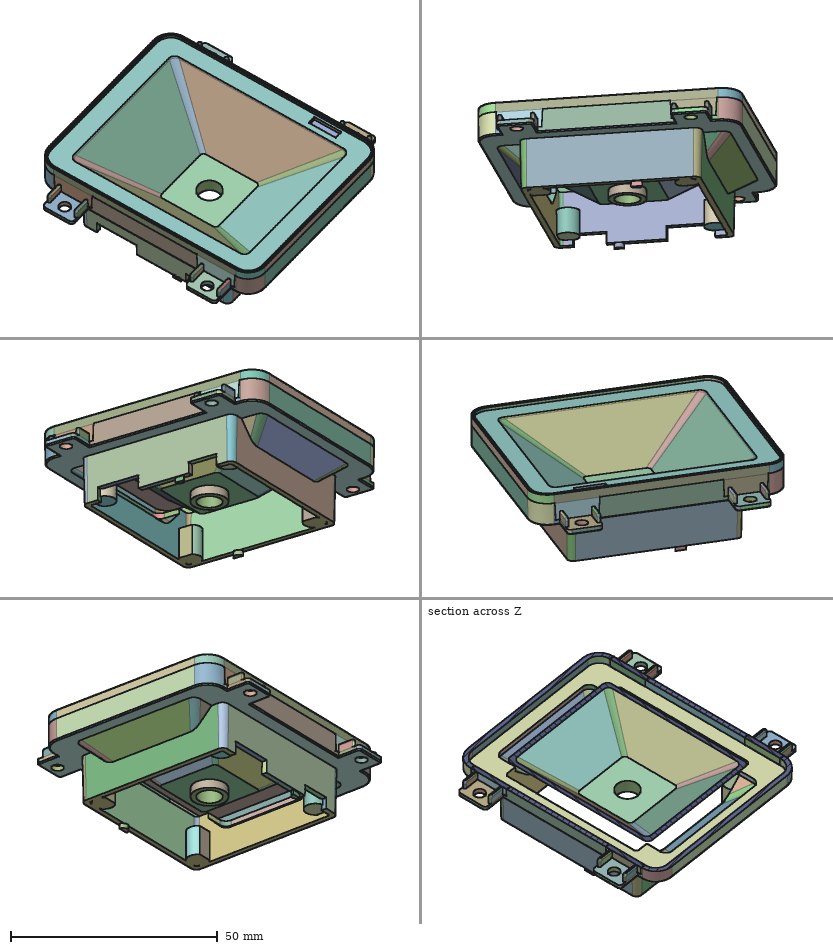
import cadquery as cq
import math


LENGTH = 65.0
WIDTH = 52.9
TAB_SPAN = 65.8
HEIGHT = 22.2
WALL = 1.45

BOX_BOTTOM = 1.3
TRAY_BOTTOM = 13.75
TAB_TOP = 15.15
RIB_TOP = 17.45
SEAM = 19.7
PANEL_TOP = 21.2
FUNNEL_FLOOR = 8.3

CORNER_RADIUS = 5.05
TRAY_DRAFT = 0.6
BOTTOM_CHAMFER = 0.3
TRAY_DEPTH = SEAM - TRAY_BOTTOM

BOX_TOP_SIZE = 44.8
BOX_CORNER_RADIUS = 1.85
BOX_DRAFT = 1.2
BOX_DEPTH = TRAY_BOTTOM - BOX_BOTTOM

CHUTE_TOP_HALF_X = 28.75
CHUTE_TOP_HALF_Y = 18.6
CHUTE_SLOPE_X = 0.76
CHUTE_SLOPE_Y = 0.95
CHUTE_TOP_CORNER_RADIUS = 2.0
CHUTE_BOTTOM_CORNER_RADIUS = 1.3
CHUTE_DEPTH = 7.9

NOTCH_EDGE = 17.5
NOTCHES = ((-NOTCH_EDGE, -5.5, 4.75), (9.3, NOTCH_EDGE, 4.3))

POST_OFFSET = 18.2
POST_RADIUS = 2.9
POST_TOP = 9.2
FRONT_POST_BOTTOM = 2.75
REAR_POST_FLAT_OFFSET = 2.2

REAR_FOOT_X = -6.45
REAR_FOOT_RADIUS = 1.4
REAR_FOOT_FLAT_Y = 21.65
FRONT_FOOT_X = 6.3
FRONT_FOOT_RADIUS = 1.25
FRONT_FOOT_FLAT_Y = -21.85

TAB_X = 21.45
TAB_WIDTH = 9.0
TAB_CORNER_RADIUS = 1.0
TAB_HOLE_DIAMETER = 3.1
TAB_HOLE_Y = 29.9
RIB_THICKNESS = 0.9
RIB_DRAFT = 0.5
RIB_END_Y = 31.1
RIB_END_RADIUS = 0.8
RIB_EDGE_FILLET = 0.4

COVER_DRAFT = 0.6
RIM_WIDTH = 0.7
RIM_CHAMFER = 0.2
FLAP_TOP_WIDTH = 11.45
FLAP_BOTTOM_WIDTH = 11.0
FLAP_LEAN = 0.03
MOUTH_LENGTH = 52.4
MOUTH_WIDTH = 41.45
MOUTH_CORNER_RADIUS = 1.7
MOUTH_CHAMFER = 0.25
FLOOR_LENGTH = 17.2
FLOOR_WIDTH = 17.65
FLOOR_CORNER_RADIUS = 1.05
FUNNEL_WALL = 1.3
LENS_HOLE_DIAMETER = 6.45
LENS_HOLE_DEPTH = 3.6
LENS_COLLAR_DIAMETER = 9.2
SLOT_X = 17.1
SLOT_Y = 23.8
SLOT_LENGTH = 8.1
SLOT_WIDTH = 2.3
SLOT_DEPTH = 1.0


def rounded_rect(length, width, radius):
    return cq.Sketch().rect(length, width).vertices().fillet(radius)


def rounded_block(length, width, radius, z, height, draft=0.0):
    """Block on level z; a negative height extrudes downward, a positive draft shrinks it."""
    base = cq.Workplane("XY").workplane(offset=z).placeSketch(rounded_rect(length, width, radius))
    return base.extrude(height, taper=draft)


def rounded_loft(lower, lower_z, upper, upper_z):
    """Loft between two (length, width, radius) rounded rectangles."""
    return (
        cq.Workplane("XY")
        .placeSketch(
            rounded_rect(*lower).moved(cq.Location(cq.Vector(0, 0, lower_z))),
            rounded_rect(*upper).moved(cq.Location(cq.Vector(0, 0, upper_z))),
        )
        .loft(ruled=True)
    )


def flap(x, side):
    """Trapezoidal flap of the cover, filling an opening in the tray wall above a tab."""
    outline = [
        (x - FLAP_BOTTOM_WIDTH / 2, TAB_TOP),
        (x + FLAP_BOTTOM_WIDTH / 2, TAB_TOP),
        (x + FLAP_TOP_WIDTH / 2, SEAM),
        (x - FLAP_TOP_WIDTH / 2, SEAM),
    ]
    reach = WIDTH / 2 + FLAP_LEAN
    plate = cq.Workplane("XZ", origin=(0, -reach, 0)).polyline(outline).close().extrude(-WALL - FLAP_LEAN)
    face_trim = (
        cq.Workplane("YZ")
        .polyline([(-reach, TAB_TOP), (-reach, SEAM), (-WIDTH / 2, SEAM)])
        .close()
        .extrude(LENGTH, both=True)
    )
    plate = plate.cut(face_trim)
    return plate if side < 0 else plate.mirror("XZ")


def tab(x, side):
    """Mounting tab with a screw hole and an upright rib along each long edge."""
    root_y = WIDTH / 2 - WALL / 2
    length = TAB_SPAN / 2 - root_y
    rib_centre_y = (root_y + RIB_END_Y) / 2
    plate = (
        cq.Workplane("XY")
        .box(TAB_WIDTH, length, TAB_TOP - TRAY_BOTTOM, centered=(True, False, False))
        .translate((x, root_y, TRAY_BOTTOM))
        .edges("|Z and >Y")
        .fillet(TAB_CORNER_RADIUS)
        .faces("<Z")
        .edges()
        .chamfer(BOTTOM_CHAMFER)
    )
    hole = (
        cq.Workplane("XY", origin=(x, TAB_HOLE_Y, TRAY_BOTTOM))
        .circle(TAB_HOLE_DIAMETER / 2)
        .extrude(TAB_TOP - TRAY_BOTTOM)
    )
    plate = plate.cut(hole)
    for edge in (-1, 1):
        rib = (
            cq.Workplane("XY", origin=(x + edge * (TAB_WIDTH - RIB_THICKNESS) / 2, rib_centre_y, TAB_TOP))
            .rect(RIB_THICKNESS, RIB_END_Y - root_y)
            .extrude(RIB_TOP - TAB_TOP, taper=RIB_DRAFT)
            .faces(">Z")
            .edges(">Y")
            .fillet(RIB_END_RADIUS)
            .faces(">Z")
            .edges(">X or <X")
            .fillet(RIB_EDGE_FILLET)
        )
        plate = plate.union(rib)
    return plate if side > 0 else plate.mirror("XZ")


def chute(inset):
    """Inverted frustum under the tray; inset shrinks it horizontally for the cavity."""
    shrink_x = CHUTE_DEPTH / CHUTE_SLOPE_X
    shrink_y = CHUTE_DEPTH / CHUTE_SLOPE_Y
    half_x = CHUTE_TOP_HALF_X - inset
    half_y = CHUTE_TOP_HALF_Y - inset
    lower = (2 * (half_x - shrink_x), 2 * (half_y - shrink_y), CHUTE_BOTTOM_CORNER_RADIUS)
    upper = (2 * half_x, 2 * half_y, CHUTE_TOP_CORNER_RADIUS)
    return rounded_loft(lower, TRAY_BOTTOM - CHUTE_DEPTH, upper, TRAY_BOTTOM)


def post(x, y, bottom):
    return cq.Workplane("XY", origin=(x, y, bottom)).circle(POST_RADIUS).extrude(POST_TOP - bottom)


def front_post(side_x):
    """Post in a -Y corner, ending short of the box rim."""
    return post(side_x * POST_OFFSET, -POST_OFFSET, FRONT_POST_BOTTOM)


def rear_post(side_x):
    """Post in a +Y corner, reaching the box rim and flattened towards the middle of the box."""
    x = side_x * POST_OFFSET
    flat_trim = (
        cq.Workplane("XY")
        .box(2 * POST_RADIUS, POST_RADIUS, POST_TOP - BOX_BOTTOM, centered=(True, False, False))
        .translate((x, POST_OFFSET - REAR_POST_FLAT_OFFSET - POST_RADIUS, BOX_BOTTOM))
    )
    return post(x, POST_OFFSET, BOX_BOTTOM).cut(flat_trim)


def foot(x, flat_y, radius):
    """Half-round foot with its flat facing away from the middle of the box."""
    inward = -math.copysign(radius, flat_y)
    return (
        cq.Workplane("XY", origin=(x, flat_y, 0))
        .moveTo(-radius, 0)
        .threePointArc((0, inward), (radius, 0))
        .close()
        .extrude(BOX_BOTTOM)
    )


def make_housing():
    """Open-bottomed shell: tray, box and chutes, with tabs, posts and feet."""
    tray = rounded_block(LENGTH, WIDTH, CORNER_RADIUS, SEAM, -TRAY_DEPTH, TRAY_DRAFT)
    tray = tray.faces("<Z").edges().chamfer(BOTTOM_CHAMFER)
    box = rounded_block(BOX_TOP_SIZE, BOX_TOP_SIZE, BOX_CORNER_RADIUS, TRAY_BOTTOM, -BOX_DEPTH, BOX_DRAFT)
    body = tray.union(box).union(chute(0))

    tray_cavity = rounded_block(
        LENGTH - 2 * WALL, WIDTH - 2 * WALL, CORNER_RADIUS - WALL, SEAM, TRAY_BOTTOM + WALL - SEAM)
    inner_size = BOX_TOP_SIZE - 2 * WALL
    box_cavity = rounded_block(
        inner_size, inner_size, BOX_CORNER_RADIUS / 2, TRAY_BOTTOM + WALL, -BOX_DEPTH - WALL, BOX_DRAFT)
    chute_mouth = rounded_block(
        2 * (CHUTE_TOP_HALF_X - WALL), 2 * (CHUTE_TOP_HALF_Y - WALL), CHUTE_TOP_CORNER_RADIUS, TRAY_BOTTOM, WALL)
    body = body.cut(tray_cavity).cut(box_cavity).cut(chute(WALL)).cut(chute_mouth)

    for start, end, top in NOTCHES:
        notch = (
            cq.Workplane("XY")
            .box(end - start, 2 * WALL, top - BOX_BOTTOM, centered=(False, False, False))
            .translate((start, -BOX_TOP_SIZE / 2, BOX_BOTTOM))
        )
        body = body.cut(notch)

    for side_x in (-1, 1):
        body = body.union(front_post(side_x)).union(rear_post(side_x))
        for side_y in (-1, 1):
            opening = flap(side_x * TAB_X, side_y)
            body = body.union(tab(side_x * TAB_X, side_y)).cut(opening)

    body = body.union(foot(REAR_FOOT_X, REAR_FOOT_FLAT_Y, REAR_FOOT_RADIUS))
    return body.union(foot(FRONT_FOOT_X, FRONT_FOOT_FLAT_Y, FRONT_FOOT_RADIUS))


def make_cover():
    """Frame with a sunken panel and a funnel down to the lens hole, plus the four flaps."""
    frame = rounded_block(LENGTH, WIDTH, CORNER_RADIUS, SEAM, HEIGHT - SEAM, COVER_DRAFT)
    recess = rounded_block(
        LENGTH - 2 * RIM_WIDTH, WIDTH - 2 * RIM_WIDTH, CORNER_RADIUS - RIM_WIDTH, PANEL_TOP, HEIGHT - PANEL_TOP)
    frame = frame.cut(recess).faces(">Z").edges().chamfer(RIM_CHAMFER)

    mouth_z = PANEL_TOP - MOUTH_CHAMFER
    floor = (FLOOR_LENGTH, FLOOR_WIDTH, FLOOR_CORNER_RADIUS)
    mouth = (MOUTH_LENGTH, MOUTH_WIDTH, MOUTH_CORNER_RADIUS)
    lip_growth = 2 * MOUTH_CHAMFER
    lip = (MOUTH_LENGTH + lip_growth, MOUTH_WIDTH + lip_growth, MOUTH_CORNER_RADIUS)
    outside_growth = 2 * FUNNEL_WALL
    mouth_outside = (MOUTH_LENGTH + outside_growth, MOUTH_WIDTH + outside_growth, MOUTH_CORNER_RADIUS)
    shell_outside = rounded_loft(floor, FUNNEL_FLOOR - FUNNEL_WALL, mouth_outside, mouth_z)
    hole_bottom = cq.Workplane("XY", origin=(0, 0, FUNNEL_FLOOR - LENS_HOLE_DEPTH))
    collar = hole_bottom.circle(LENS_COLLAR_DIAMETER / 2).extrude(LENS_HOLE_DEPTH)
    lens_hole = hole_bottom.circle(LENS_HOLE_DIAMETER / 2).extrude(LENS_HOLE_DEPTH)
    slot = (
        cq.Workplane("XY", origin=(SLOT_X, SLOT_Y, PANEL_TOP))
        .rect(SLOT_LENGTH, SLOT_WIDTH)
        .extrude(-SLOT_DEPTH)
    )
    cover = (
        frame.union(shell_outside)
        .union(collar)
        .cut(rounded_loft(floor, FUNNEL_FLOOR, mouth, mouth_z))
        .cut(rounded_loft(mouth, mouth_z, lip, PANEL_TOP))
        .cut(lens_hole)
        .cut(slot)
    )
    for x in (-TAB_X, TAB_X):
        for side in (-1, 1):
            cover = cover.union(flap(x, side))
    return cover


housing = make_housing()
cover = make_cover()
result = cq.Compound.makeCompound([housing.val(), cover.val()])